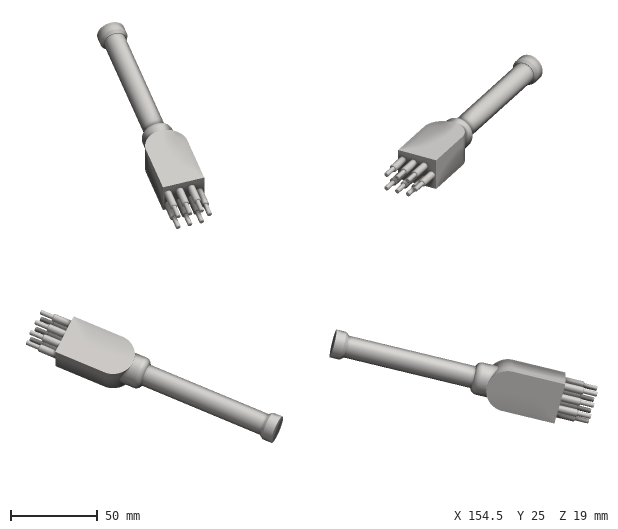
import cadquery as cq

total_length = 154.5

body_width = 25.0
body_height = 19.0
body_nose_x = 91.5
body_straight_x = 102.7
body_end_x = 134.9

collar_diameter = body_height
collar_start_x = 83.1
collar_round = 3.9
collar_end_x = 98.9

cable_diameter = 13.0
cap_diameter = 16.5
cap_neck_diameter = 13.8
cap_rim_length = 5.7
cap_length = 7.5

sleeve_diameter = 4.5
sleeve_end_x = 146.5
sleeve_chamfer = 0.5
tip_diameter = 2.8
tip_chamfer = 0.3

pin_pitch_y = 7.1
pin_row_spacing = 9.0
pin_center_y = -2.5
pin_center_z = -1.0
single_pin_y = 9.5


def rod(start_x, end_x, diameter, y=0.0, z=0.0):
    """Cylinder along X."""
    plane = cq.Workplane("YZ", origin=(start_x, y, z))
    return plane.circle(diameter / 2).extrude(end_x - start_x)


def make_body():
    """Flat-sided block with a rounded nose towards the cable."""
    half_width = body_width / 2
    return (
        cq.Workplane("XY", origin=(0, 0, -body_height / 2))
        .moveTo(body_end_x, -half_width)
        .lineTo(body_end_x, half_width)
        .lineTo(body_straight_x, half_width)
        .threePointArc((body_nose_x, 0), (body_straight_x, -half_width))
        .close()
        .extrude(body_height)
    )


def make_collar():
    """Cylinder with a rounded edge on the cable side."""
    collar = rod(collar_start_x, collar_end_x, collar_diameter)
    return collar.faces("<X").edges().fillet(collar_round)


def make_cap():
    """Cylindrical rim tapering to a neck slightly larger than the cable."""
    return (
        cq.Workplane("XY")
        .lineTo(0, cap_diameter / 2)
        .lineTo(cap_rim_length, cap_diameter / 2)
        .lineTo(cap_length, cap_neck_diameter / 2)
        .lineTo(cap_length, 0)
        .close()
        .revolve(360, (0, 0, 0), (1, 0, 0))
    )


def make_pin(y, z):
    """Chamfered sleeve and tip, rooted at the middle of the body."""
    root_x = (body_straight_x + body_end_x) / 2
    sleeve = rod(root_x, sleeve_end_x, sleeve_diameter, y, z)
    tip = rod(root_x, total_length, tip_diameter, y, z)
    sleeve = sleeve.faces(">X").edges().chamfer(sleeve_chamfer)
    tip = tip.faces(">X").edges().chamfer(tip_chamfer)
    return sleeve.union(tip)


pin_positions = [(single_pin_y, pin_center_z)]
for column in (-1, 0, 1):
    for row in (-0.5, 0.5):
        pin_y = pin_center_y + column * pin_pitch_y
        pin_z = pin_center_z + row * pin_row_spacing
        pin_positions.append((pin_y, pin_z))

cable = rod(0, collar_end_x, cable_diameter)
result = make_body().union(make_collar()).union(cable).union(make_cap())
for pin_y, pin_z in pin_positions:
    result = result.union(make_pin(pin_y, pin_z))